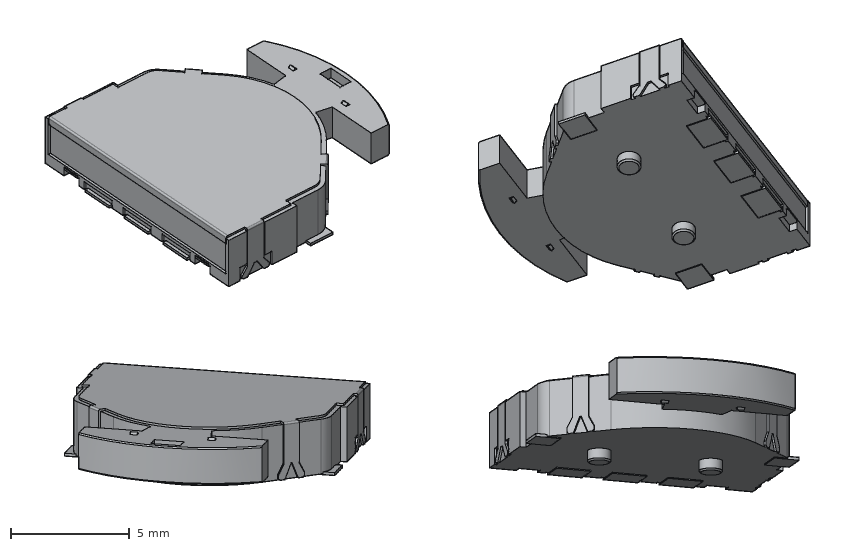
import cadquery as cq
import math


base_width = 11.8
base_depth = 3.81
upper_width = 11.23
dome_rear = 9.03
dome_radius = 4.85
corner_radius = 0.9
shoulder_angle = 42.0
total_height = 2.5
sheet = 0.1
housing_height = total_height - sheet

cover_inset = 0.22
cover_front_width = 11.42
cover_step = 3.63
flap_face = 0.04
flap_bottom = 2.1
bend_radius = 0.08

window_bottom = 0.57
notch_center = 4.21
notch_width = 0.95
notch_height = 0.48
notch_depth = 0.35
notch_lip = 0.1
lead_pitch = 2.5
lead_width = 1.55
lead_recess_width = 1.8
lead_recess_height = 0.4
lead_recess_depth = 0.12

standoff = 0.05
lead_top = 0.08
lead_length = 1.16
foot_front = 4.58
foot_rear = 5.83
foot_length = 1.11

peg_diameter = 1.0
peg_length = 0.5
peg_back = 4.25
peg_chamfer = 0.07

lever_bottom = 0.8
lever_top = housing_height
lever_width = 8.0
lever_heel = 9.62
lever_side_end = 10.63
lever_rear = 11.7
lever_edge_chamfer = 0.06
neck_width = 3.0
neck_root_width = 2.43
neck_root = 8.26
pocket_width = 1.29
pocket_front = 10.8
pocket_rear = 11.41
pocket_depth = 0.5
ridge_width = 0.21
ridge_height = 0.1
ridge_length = 0.32
ridge_offset = 1.7
ridge_back = 10.18

side_clip_back = 1.52
side_strip_width = 0.92
side_recess_width = 1.79
side_recess_height = 0.7
oblique_clip_shift = 1.36
oblique_strip_width = 0.73
clip_gap = 0.04
tail_toe = 0.07
tongue_length = 0.47

slope = math.radians(shoulder_angle)
dome_center = dome_rear - dome_radius


def block(x_min, x_max, y_min, y_max, z_min, z_max):
    size = (x_max - x_min, y_max - y_min, z_max - z_min)
    return cq.Workplane("XY").box(*size, centered=False).translate((x_min, y_min, z_min))


def wide_block(width, y_min, y_max, z_min, z_max):
    return block(-width / 2, width / 2, y_min, y_max, z_min, z_max)


def both_sides(shape):
    return shape.union(shape.mirror("YZ"))


def domed_plate(inset, z_min, z_max):
    """Rear outline: side walls, rounded corners, oblique walls and dome, moved inward by inset."""
    half = upper_width / 2 - inset
    dome = dome_radius - inset
    corner = corner_radius - inset
    corner_x = half - corner
    wall_distance = dome_center * math.cos(slope) + dome
    corner_y = (wall_distance - corner - corner_x * math.sin(slope)) / math.cos(slope)

    def on_corner(angle):
        return corner_x + corner * math.sin(angle), corner_y + corner * math.cos(angle)

    def flip(point):
        return -point[0], point[1]

    corner_mid = on_corner((slope + math.pi / 2) / 2)
    corner_end = on_corner(slope)
    dome_end = (dome * math.sin(slope), dome_center + dome * math.cos(slope))
    return (
        cq.Workplane("XY", origin=(0, 0, z_min))
        .moveTo(-half, flap_face)
        .lineTo(half, flap_face)
        .lineTo(half, corner_y)
        .threePointArc(corner_mid, corner_end)
        .lineTo(*dome_end)
        .threePointArc((0, dome_center + dome), flip(dome_end))
        .lineTo(*flip(corner_end))
        .threePointArc(flip(corner_mid), (-half, corner_y))
        .close()
        .extrude(z_max - z_min)
    )


def make_housing():
    housing = domed_plate(0, 0, housing_height)
    housing = housing.union(wide_block(base_width, 0, base_depth, 0, housing_height))
    housing = housing.cut(
        wide_block(cover_front_width, 0, flap_face + sheet, window_bottom, housing_height)
    )
    notch = wide_block(notch_width, 0, notch_depth, 0, notch_height - notch_lip)
    lip = wide_block(notch_width - 2 * standoff, -standoff, notch_depth,
                     notch_height - notch_lip, notch_height)
    notch = notch.translate((-notch_center, 0, 0))
    lip = lip.translate((-notch_center, 0, 0))
    return housing.cut(both_sides(notch)).union(both_sides(lip))


def make_cover():
    """Top sheet with a front edge bent down over the window."""
    front = wide_block(cover_front_width, flap_face, cover_step, flap_bottom, total_height)
    front = front.cut(
        wide_block(cover_front_width, flap_face + sheet, cover_step, flap_bottom, housing_height)
    )
    front = front.edges("|X and >Z and <Y").fillet(bend_radius)
    rear = domed_plate(cover_inset, housing_height, total_height)
    rear = rear.cut(wide_block(base_width, 0, cover_step / 2, housing_height, total_height))
    return front.union(rear)


def make_clip(strip_width, tail_width, tail_top, leg_knee, fork_top, fork_width, fork_tip_width):
    """Strip bent down from the cover along a wall, ending in a forked tail.

    The outer face of the strip lies on Y = 0 and points toward -Y.
    """
    strip = strip_width / 2
    tail = tail_width / 2
    right_half = [
        (strip, total_height), (strip, tail_top), (tail, leg_knee), (tail, tail_toe),
        (tail - tail_toe, 0), (fork_width / 2, 0), (fork_tip_width / 2, fork_top),
    ]
    left_half = [(-x, z) for x, z in reversed(right_half)]
    plate = cq.Workplane("XZ").polyline(right_half + left_half).close().extrude(-sheet)
    tongue = wide_block(strip_width, 0, tongue_length, housing_height, total_height)
    return plate.union(tongue).edges("|X and >Z and <Y").fillet(bend_radius)


def place_side(shape):
    turned = shape.rotate((0, 0, 0), (0, 0, 1), -90)
    return both_sides(turned.translate((-base_width / 2, side_clip_back, 0)))


def place_oblique(shape):
    """Set the shape on the oblique walls, standing one sheet thickness proud of them."""
    outward = dome_radius + sheet
    x = -outward * math.sin(slope) - oblique_clip_shift * math.cos(slope)
    y = dome_center + outward * math.cos(slope) - oblique_clip_shift * math.sin(slope)
    turned = shape.rotate((0, 0, 0), (0, 0, 1), 180 + shoulder_angle)
    return both_sides(turned.translate((x, y, 0)))


def add_clips(body):
    side_clip = make_clip(side_strip_width, tail_width=1.53, tail_top=0.57, leg_knee=0.18,
                          fork_top=0.58, fork_width=0.92, fork_tip_width=0.17)
    oblique_clip = make_clip(oblique_strip_width, tail_width=1.23, tail_top=0.68, leg_knee=0.24,
                             fork_top=0.7, fork_width=0.64, fork_tip_width=0.05)
    channel = wide_block(side_strip_width + 2 * clip_gap, 0, sheet, 0, housing_height)
    recess = wide_block(side_recess_width, 0, sheet, 0, side_recess_height)
    body = body.cut(place_side(channel.union(recess)))
    return body.union(place_side(side_clip)).union(place_oblique(oblique_clip))


def add_leads(body):
    for x in (-lead_pitch, 0, lead_pitch):
        recess = wide_block(lead_recess_width, 0, lead_recess_depth, 0, lead_recess_height)
        lead = wide_block(lead_width, -standoff, lead_length - standoff, -standoff, lead_top)
        body = body.cut(recess.translate((x, 0, 0))).union(lead.translate((x, 0, 0)))
    outer = base_width / 2
    foot = block(-outer, foot_length - outer, foot_front, foot_rear, -standoff, lead_top)
    return body.union(both_sides(foot))


def make_pegs():
    return (
        cq.Workplane("XY")
        .pushPoints([(-lead_pitch, peg_back), (lead_pitch, peg_back)])
        .circle(peg_diameter / 2)
        .extrude(-peg_length)
        .faces("<Z")
        .chamfer(peg_chamfer)
    )


def make_lever():
    half = lever_width / 2
    lever = (
        cq.Workplane("XY", origin=(0, 0, lever_bottom))
        .moveTo(-neck_root_width / 2, neck_root)
        .lineTo(neck_root_width / 2, neck_root)
        .lineTo(neck_width / 2, lever_heel)
        .lineTo(half, lever_heel)
        .lineTo(half, lever_side_end)
        .threePointArc((0, lever_rear), (-half, lever_side_end))
        .lineTo(-half, lever_heel)
        .lineTo(-neck_width / 2, lever_heel)
        .close()
        .extrude(lever_top - lever_bottom)
        .edges("%CIRCLE")
        .chamfer(lever_edge_chamfer)
    )
    pocket = wide_block(pocket_width, pocket_front, pocket_rear, lever_top - pocket_depth, lever_top)
    lever = lever.cut(pocket)
    for z, peak in ((lever_bottom, -ridge_height), (lever_top, ridge_height)):
        ridge = (
            cq.Workplane("YZ", origin=(-ridge_offset, ridge_back, z))
            .polyline([(-ridge_width / 2, 0), (0, peak), (ridge_width / 2, 0)])
            .close()
            .extrude(ridge_length / 2, both=True)
        )
        lever = lever.union(both_sides(ridge))
    return lever


body = make_housing().union(make_cover())
body = add_clips(body)
body = add_leads(body)
result = body.union(make_pegs()).union(make_lever()).clean()